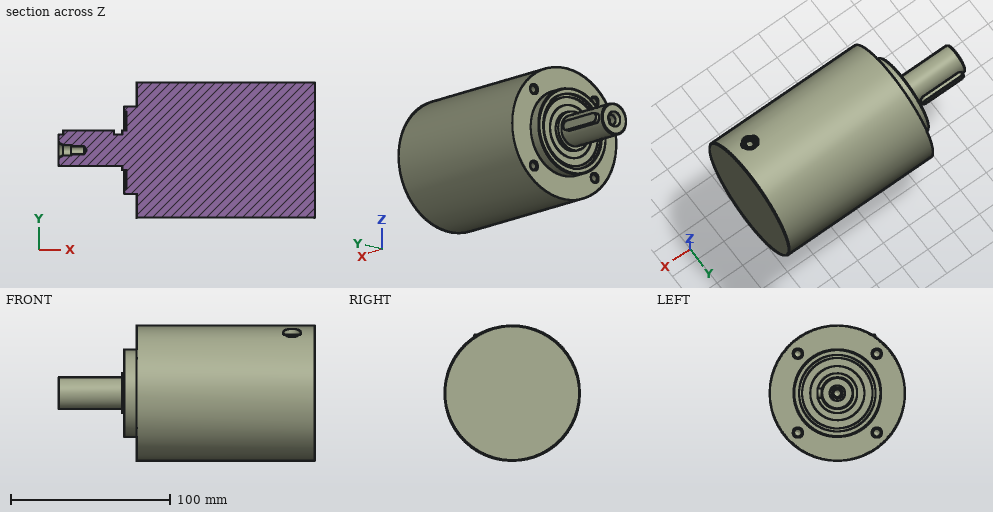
import cadquery as cq
import math

total_length = 161.0
shaft_length = 40.0
collar_length = 1.0
pilot_length = 8.0
pilot_front = shaft_length + collar_length
housing_front = pilot_front + pilot_length

shaft_diameter = 20.0
collar_diameter = 25.0
pilot_diameter = 55.0
housing_diameter = 85.0
edge_chamfer = 0.5

recess_diameter = 48.0
recess_depth = 1.5
seal_outer_diameter = 44.2
seal_inner_diameter = 34.0
seal_depth = 0.2

key_start = 3.0
key_length = 32.0
key_width = 6.0
key_height = 6.0
key_top = 12.5

drill_tip_half_angle = 59.0
tap_drill_diameter = 4.92
thread_mouth_diameter = 6.4
mount_circle_diameter = 70.0
mount_hole_count = 4
mount_hole_depth = 12.0
first_mount_hole_angle = 45.0

centre_mouth_diameter = 9.6
centre_taper_half_angle = 30.0
centre_bore_depth = 8.0
centre_drill_depth = 16.0

access_x = 146.5
access_y = -19.0
access_floor_z = 36.5
access_diameter = 11.0
screw_diameter = 10.0
screw_top_diameter = 8.5
screw_length = 6.0
screw_rise = 0.2
screw_top_z = access_floor_z + screw_rise
socket_sides = 6
socket_across_flats = 5.5
socket_depth = 4.0


def disc(start, length, diameter):
    """Cylinder on the X axis, starting at the given X."""
    return cq.Workplane("YZ", origin=(start, 0, 0)).circle(diameter / 2).extrude(length)


def tip_height(diameter):
    return diameter / 2 / math.tan(math.radians(drill_tip_half_angle))


def revolve_about_x(profile_points):
    """Solid of revolution from (x, radius) points."""
    return (
        cq.Workplane("XY")
        .polyline(profile_points)
        .close()
        .revolve(360, (0, 0, 0), (1, 0, 0))
    )


def make_seal_groove():
    """Annular cutter sunk into the floor of the pilot recess."""
    floor = pilot_front + recess_depth
    groove = disc(floor, seal_depth, seal_outer_diameter)
    return groove.cut(disc(floor, seal_depth, seal_inner_diameter))


def make_turned_body():
    shaft = disc(0, housing_front, shaft_diameter).faces("<X").chamfer(edge_chamfer)
    collar = disc(shaft_length, collar_length + recess_depth, collar_diameter)
    pilot = disc(pilot_front, pilot_length, pilot_diameter).faces("<X").chamfer(edge_chamfer)
    pilot = pilot.cut(disc(pilot_front, recess_depth, recess_diameter))
    pilot = pilot.cut(make_seal_groove())
    housing = disc(housing_front, total_length - housing_front, housing_diameter)
    housing = housing.faces(">X").chamfer(edge_chamfer)
    return housing.union(pilot).union(collar).union(shaft)


def make_key():
    return (
        cq.Workplane("XZ", origin=(key_start + key_length / 2, key_top, 0))
        .slot2D(key_length, key_width)
        .extrude(key_height)
    )


def make_mount_hole():
    """Chamfered tapping hole on the X axis, to be moved onto the bolt circle."""
    mouth_radius = thread_mouth_diameter / 2
    drill_radius = tap_drill_diameter / 2
    bottom = housing_front + mount_hole_depth
    return revolve_about_x([
        (housing_front, 0),
        (housing_front, mouth_radius),
        (housing_front + mouth_radius - drill_radius, drill_radius),
        (bottom, drill_radius),
        (bottom + tip_height(tap_drill_diameter), 0),
    ])


def make_centre_hole():
    mouth_radius = centre_mouth_diameter / 2
    bore_radius = thread_mouth_diameter / 2
    drill_radius = tap_drill_diameter / 2
    taper_depth = (mouth_radius - bore_radius) / math.tan(math.radians(centre_taper_half_angle))
    return revolve_about_x([
        (0, 0),
        (0, mouth_radius),
        (taper_depth, bore_radius),
        (centre_bore_depth, bore_radius),
        (centre_bore_depth, drill_radius),
        (centre_drill_depth, drill_radius),
        (centre_drill_depth + tip_height(tap_drill_diameter), 0),
    ])


def access_plane(z):
    return cq.Workplane("XY", origin=(access_x, access_y, z))


def make_access_pocket():
    return access_plane(access_floor_z).circle(access_diameter / 2).extrude(housing_diameter / 2)


def make_screw():
    """Chamfered screw, just above the pocket floor and proud of the housing on its -Y side."""
    return (
        access_plane(screw_top_z)
        .circle(screw_diameter / 2)
        .extrude(-screw_length)
        .faces(">Z")
        .chamfer((screw_diameter - screw_top_diameter) / 2)
    )


def make_socket():
    """Hexagon socket with corners toward +Y and -Y and a conical bottom."""
    across_corners = socket_across_flats / math.cos(math.pi / socket_sides)
    hexagon = (
        access_plane(screw_top_z)
        .transformed(rotate=(0, 0, 90))
        .polygon(socket_sides, across_corners)
        .extrude(-socket_depth)
    )
    cone_height = tip_height(across_corners)
    cone = cq.Solid.makeCone(
        across_corners / 2,
        0,
        cone_height,
        cq.Vector(access_x, access_y, screw_top_z - socket_depth),
        cq.Vector(0, 0, -1),
    )
    return hexagon.union(cq.Workplane(cone))


result = make_turned_body()
result = result.union(make_key())
result = result.cut(make_centre_hole())

mount_hole = make_mount_hole().translate((0, mount_circle_diameter / 2, 0))
for index in range(mount_hole_count):
    angle = first_mount_hole_angle + index * 360 / mount_hole_count
    result = result.cut(mount_hole.rotate((0, 0, 0), (1, 0, 0), angle))

result = result.cut(make_access_pocket())
result = result.union(make_screw())
result = result.cut(make_socket())